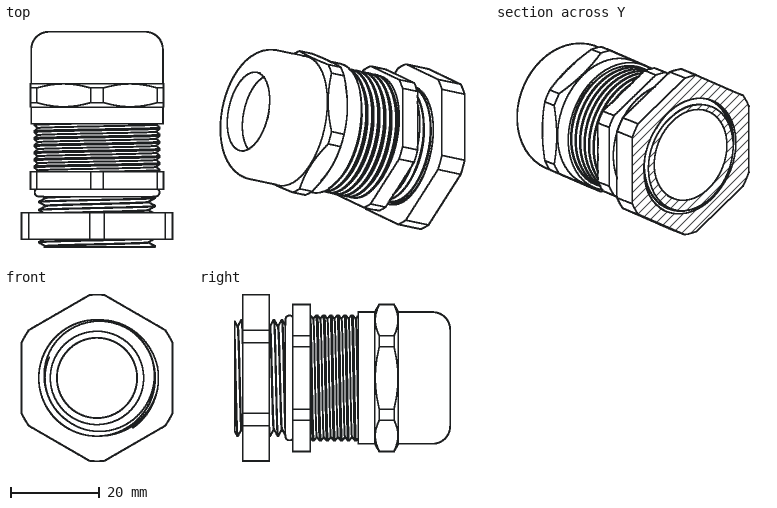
import cadquery as cq
import math


inch = 25.4

overall_length = 48.46
entry_end = -13.0
cap_top = entry_end + overall_length

hexagon_sides = 6
gland_flats = 30.0
gland_corner_radius = 16.55
locknut_flats = 34.0
locknut_corner_radius = 18.745

collar_thickness = 4.0
bore_radius = 10.5
body_top = 25.0
cap_thread_top = 16.5

entry_pitch = inch / 14
entry_crest_radius = 13.1
entry_root_radius = 11.7
entry_crest_width = 0.15
entry_flank_angle = 28.0
entry_crest_at_plus_x = -1.92

cap_pitch = inch / 16
cap_crest_radius = 14.1
cap_root_radius = 13.4
cap_crest_width = 0.32
cap_flank_angle = 40.0
cap_crest_at_plus_x = 12.19

ring_tube_radius = 0.95
ring_outer_radius = 14.07
ring_centre_y = -0.67
ring_path_radius = ring_outer_radius - ring_tube_radius
ring_front = ring_centre_y - ring_tube_radius
neck_radius = ring_path_radius - ring_tube_radius

locknut_top = -5.2
locknut_thickness = 6.05
locknut_front = locknut_top - locknut_thickness
groove_root_radius = 13.84
groove_root_width = 0.1
groove_flank_angle = 27.5

cap_radius = 14.84
cap_bottom = 14.72
cap_hex_bottom = 18.5
cap_hex_top = 23.8
cap_dome_radius = 4.0
cap_hex_chamfer_angle = 30.0
cap_lip_thickness = 4.0
cap_lip_bottom = cap_top - cap_lip_thickness
cable_radius = 9.0

ridge_sink = 0.3
trim_margin = 1.0


def cylinder(radius, y_low, y_high):
    """Round bar along Y."""
    return cq.Workplane("XZ", origin=(0, y_low, 0)).circle(radius).extrude(y_low - y_high)


def revolve_about_y(points):
    """Solid of revolution from a closed outline of (radius, y) points."""
    return cq.Workplane("XY").polyline(points).close().revolve(360, (0, 0, 0), (0, 1, 0))


def hexagon(flats, corner_radius, y_low, y_high):
    """Hexagonal prism along Y with its corners turned down to corner_radius."""
    across_corners = flats / math.cos(math.pi / hexagon_sides)
    prism = (
        cq.Workplane("XZ", origin=(0, y_low, 0))
        .transformed(rotate=(0, 0, 180 / hexagon_sides))
        .polygon(hexagon_sides, across_corners)
        .extrude(y_low - y_high)
    )
    return prism.intersect(cylinder(corner_radius, y_low, y_high))


def helical_ridge(pitch, root_radius, crest_radius, crest_width, flank_angle, crest_y, y_low, y_high):
    """Right-hand helical ridge along Y, trimmed to y_low..y_high.

    The ridge has a crest on the +X side at crest_y, and at every whole pitch from there.
    """
    base_radius = root_radius - ridge_sink
    crest_half = crest_width / 2
    root_half = crest_half + (crest_radius - root_radius) * math.tan(math.radians(flank_angle))
    section = [
        (base_radius, -root_half),
        (root_radius, -root_half),
        (crest_radius, -crest_half),
        (crest_radius, crest_half),
        (root_radius, root_half),
        (base_radius, root_half),
    ]
    first_turn = math.floor((y_low - crest_y) / pitch) - 1
    last_turn = math.ceil((y_high - crest_y) / pitch) + 1
    height = (last_turn - first_turn) * pitch

    helices = [
        cq.Wire.makeHelix(pitch, height, radius, center=cq.Vector(0, 0, offset))
        for radius, offset in section
    ]
    faces = [
        cq.Face.makeRuledSurface(helices[i - 1], helices[i])
        for i in range(len(helices))
    ]
    for end_height in (0, height):
        corners = [cq.Vector(radius, 0, offset + end_height) for radius, offset in section]
        faces.append(cq.Face.makeFromWires(cq.Wire.makePolygon(corners, close=True)))
    coil = cq.Solid.makeSolid(cq.Shell.makeShell(faces))

    coil = coil.rotate(cq.Vector(0, 0, 0), cq.Vector(1, 0, 0), -90)
    coil = coil.translate(cq.Vector(0, crest_y + first_turn * pitch, 0))
    return cq.Workplane(coil).intersect(cylinder(crest_radius + trim_margin, y_low, y_high))


def ring_torus():
    """Torus about Y, used for the sealing ring and for its seat."""
    return (
        cq.Workplane("XY")
        .center(ring_path_radius, ring_centre_y)
        .circle(ring_tube_radius)
        .revolve(360, (-ring_path_radius, 0, 0), (-ring_path_radius, 1, 0))
    )


def make_body():
    """Threaded tube with a hexagonal collar between its two threads."""
    entry_core = cylinder(entry_root_radius, entry_end, 0)
    neck = cylinder(neck_radius, ring_front, 0)
    collar = hexagon(gland_flats, gland_corner_radius, 0, collar_thickness)
    cap_core = cylinder(cap_root_radius, collar_thickness, body_top)
    bore = cylinder(bore_radius, entry_end, body_top)
    tube = entry_core.union(neck).union(collar).union(cap_core).cut(bore).cut(ring_torus())
    entry_thread = helical_ridge(
        entry_pitch, entry_root_radius, entry_crest_radius, entry_crest_width,
        entry_flank_angle, entry_crest_at_plus_x, entry_end, ring_front,
    )
    cap_thread = helical_ridge(
        cap_pitch, cap_root_radius, cap_crest_radius, cap_crest_width,
        cap_flank_angle, cap_crest_at_plus_x, collar_thickness, cap_thread_top,
    )
    return tube.union(entry_thread).union(cap_thread)


def make_locknut():
    """Hexagonal nut whose bore clears the entry thread and carries a helical groove."""
    blank = hexagon(locknut_flats, locknut_corner_radius, locknut_front, locknut_top)
    bore = cylinder(entry_crest_radius, locknut_front, locknut_top)
    groove = helical_ridge(
        entry_pitch, entry_crest_radius, groove_root_radius, groove_root_width,
        groove_flank_angle, locknut_front, locknut_front, locknut_top,
    )
    return blank.cut(bore).cut(groove)


def make_cap():
    """Domed cap with a chamfered hexagon, bored for the body and for the cable."""
    dome = cylinder(cap_radius, cap_bottom, cap_top).faces(">Y").edges().fillet(cap_dome_radius)
    chamfer_rise = (gland_corner_radius - cap_radius) * math.tan(math.radians(cap_hex_chamfer_angle))
    turned_blank = revolve_about_y([
        (0, cap_hex_bottom),
        (cap_radius, cap_hex_bottom),
        (gland_corner_radius, cap_hex_bottom + chamfer_rise),
        (gland_corner_radius, cap_hex_top - chamfer_rise),
        (cap_radius, cap_hex_top),
        (0, cap_hex_top),
    ])
    grip = hexagon(gland_flats, gland_corner_radius, cap_hex_bottom, cap_hex_top).intersect(turned_blank)
    body_bore = cylinder(cap_crest_radius, cap_bottom, cap_lip_bottom)
    cable_hole = cylinder(cable_radius, cap_lip_bottom, cap_top)
    return dome.union(grip).cut(body_bore).cut(cable_hole)


def make_seal():
    """Cable seal, held between the end of the body and the lip of the cap."""
    return cylinder(cap_crest_radius, body_top, cap_lip_bottom).cut(
        cylinder(cable_radius, body_top, cap_lip_bottom)
    )


body = make_body()
sealing_ring = ring_torus()
locknut = make_locknut()
cap = make_cap()
seal = make_seal()

bodies = [body, sealing_ring, locknut, cap, seal]
result = cq.Compound.makeCompound([part.solids().val() for part in bodies])